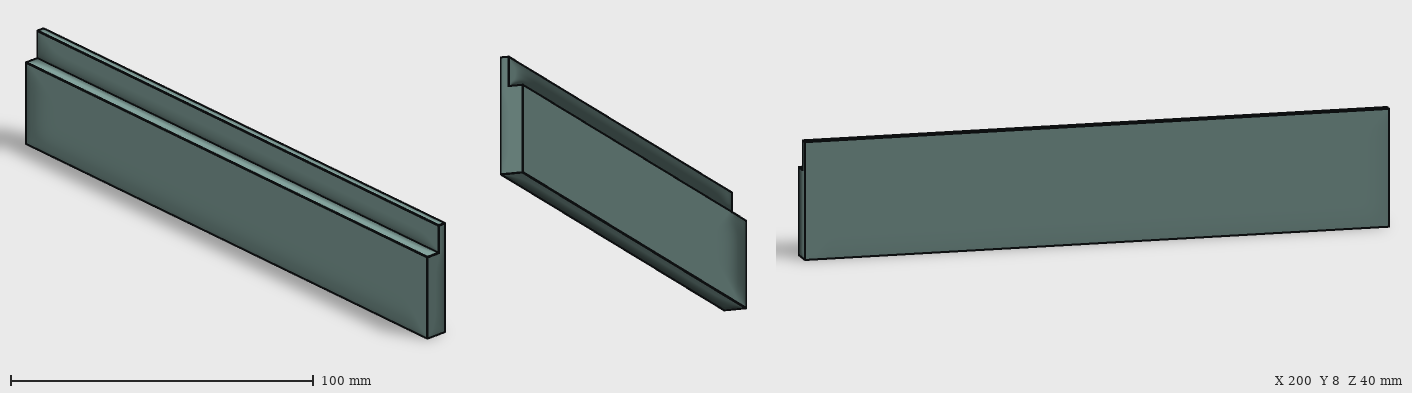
import cadquery as cq

length = 200.0
thickness = 8.0
height = 40.0

lip_height = 10.0
lip_thickness = 3.0

edge_chamfer = 0.2

shoulder_height = height - lip_height
lip_front = thickness - lip_thickness

profile = [
    (0, 0),
    (thickness, 0),
    (thickness, height),
    (lip_front, height),
    (lip_front, shoulder_height),
    (0, shoulder_height),
]
strip = cq.Workplane("YZ").polyline(profile).close().extrude(length)

outer_faces = strip.faces("<X or >X or <Y or >Y or <Z or >Z")
result = outer_faces.edges().chamfer(edge_chamfer)